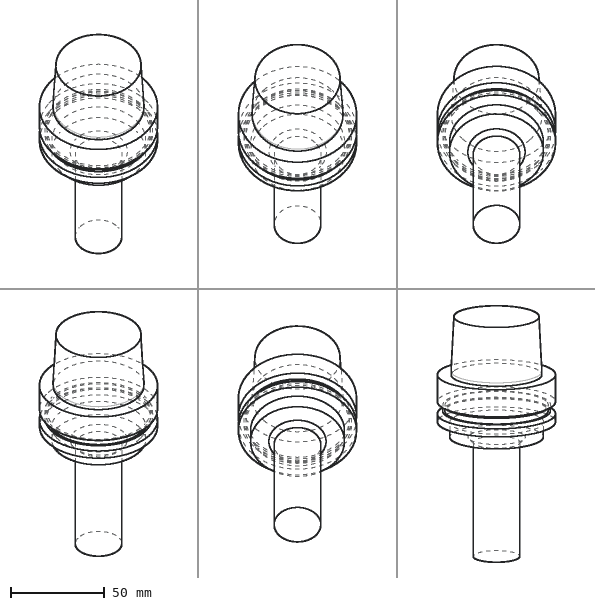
import cadquery as cq

total_height = 132.0
taper_length = 32.0
taper_base_height = 2.0
flange_length = 26.0
collar_length = 8.3
shank_cone_length = 2.8

flange_diameter = 63.0
taper_top_diameter = 45.4
taper_base_diameter = 48.5
groove_diameter = 55.0
collar_diameter = 50.0
shank_cone_diameter = 30.5
shank_diameter = 25.0

lower_rim_height = 4.5
lower_flank_height = 1.6
groove_floor_height = 3.4
upper_flank_height = 1.6
groove_edge_diameter = 57.4

flange_top = total_height - taper_length
flange_bottom = flange_top - flange_length
collar_bottom = flange_bottom - collar_length
shank_top = collar_bottom - shank_cone_length
groove_bottom = flange_bottom + lower_rim_height
floor_bottom = groove_bottom + lower_flank_height
floor_top = floor_bottom + groove_floor_height
groove_top = floor_top + upper_flank_height


def disc(bottom, top, diameter):
    """Cylinder on the Z axis between two heights."""
    return cq.Workplane("XY").workplane(offset=bottom).circle(diameter / 2).extrude(top - bottom)


def cone(bottom, top, bottom_diameter, top_diameter):
    """Truncated cone on the Z axis between two heights."""
    return (
        cq.Workplane("XY")
        .workplane(offset=bottom)
        .circle(bottom_diameter / 2)
        .workplane(offset=top - bottom)
        .circle(top_diameter / 2)
        .loft(ruled=True)
    )


shank = disc(0, shank_top, shank_diameter).union(
    cone(shank_top, collar_bottom, shank_diameter, shank_cone_diameter)
)
collar = disc(collar_bottom, flange_bottom, collar_diameter)

lower_rim = disc(flange_bottom, groove_bottom, flange_diameter).union(
    cone(groove_bottom, floor_bottom, flange_diameter, groove_edge_diameter)
)
groove_floor = disc(floor_bottom, floor_top, groove_diameter)
upper_rim = cone(floor_top, groove_top, groove_edge_diameter, flange_diameter).union(
    disc(groove_top, flange_top, flange_diameter)
)

taper_base_top = flange_top + taper_base_height
taper = disc(flange_top, taper_base_top, taper_base_diameter).union(
    cone(taper_base_top, total_height, taper_base_diameter, taper_top_diameter)
)

result = shank.union(collar).union(lower_rim).union(groove_floor).union(upper_rim).union(taper)